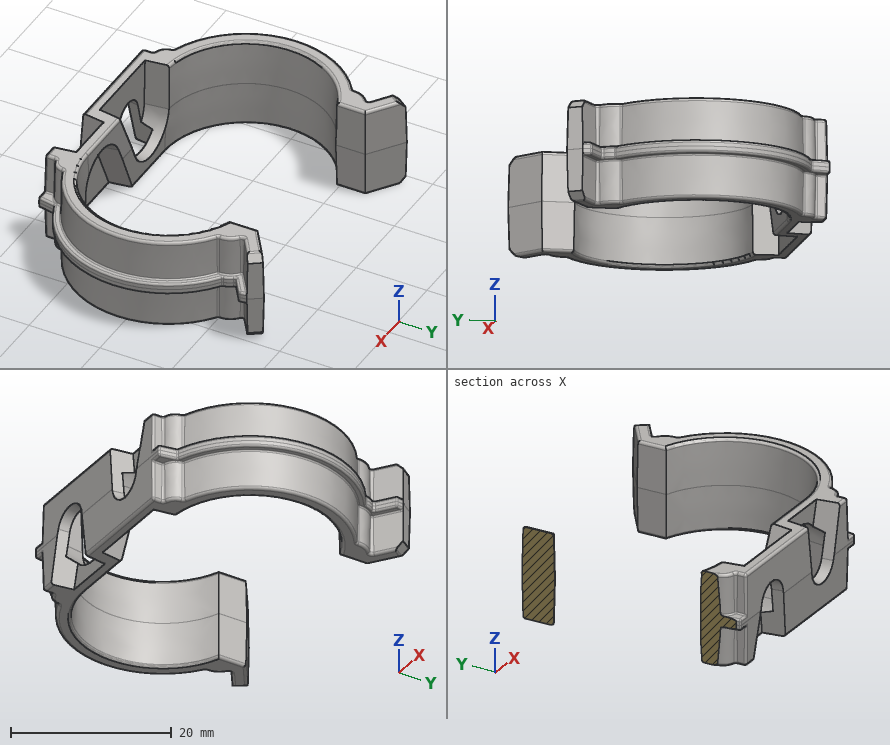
import cadquery as cq
import math

WIDTH = 49.0
DEPTH = 34.25
HEIGHT = 12.7
HALF_HEIGHT = HEIGHT / 2
DRAFT = 1.2
RIM_ROUND = 0.4
CORNER_ROUND = 0.25

WALL = 2.15
RIB_HEIGHT = 1.0
BASE_THICKNESS = 4.8
INNER_RADIUS = 11.3
BODY_RADIUS = INNER_RADIUS + WALL
RIB_RADIUS = BODY_RADIUS + RIB_HEIGHT
ARC_X = -(WIDTH / 2 - RIB_RADIUS)
ARC_Y = BASE_THICKNESS + INNER_RADIUS

RIB_HALF_THICKNESS = 0.8
CREST_ROUND = 0.3
ROOT_ROUND = 0.2
RIB_ROOT_RADIUS = BODY_RADIUS - WALL / 2
RIB_ROOT_X = -14.95

PAD_X = -12.9
PAD_RIB_X = -14.3
FOOT_LUMP_X = -14.55
FOOT_LUMP_MIDDLE = (-14.25, 2.45)
FOOT_LUMP_END = (PAD_X, 1.55)
FOOT_RIB_X = -14.75

MOUTH_X = -13.9
LEVER_BEND = (MOUTH_X, 30.9)
LEVER_ANGLE = 35.0
LEVER_TIP_CUT = 1.05
LEVER_ROOT_DISTANCE = 1.35
RIB_LEVER_ROOT_DISTANCE = 2.1
RIB_TIP_SETBACK = 0.5
NECK_X = -17.7
NECK_MIDDLE = (-17.3, 28.9)
RIB_NECK_X = -18.2
RIB_NECK_MIDDLE = (-17.9, 29.0)

SLOT_X = 6.3
SLOT_DEPTH = 3.25
SLOT_DRAFT = 8.0
FRONT_SLOT_RADIUS = 2.3
FRONT_SLOT_ANGLES = (6.6, 15.0)
BACK_SLOT_RADIUS = 4.1
BACK_SLOT_ANGLES = (2.0, 25.0)

OVERCUT = 1.0
OVERLAP = 0.5
NEAR = 0.05
PAD_REACH = 0.25
SAME_POINT = 0.005


def arc_y(radius, x, side):
    """Y of the ring arc at x, on its +Y (side 1) or -Y (side -1) half."""
    return ARC_Y + side * math.sqrt(radius**2 - (x - ARC_X) ** 2)


def along_lever(start, length, across=0.0):
    """Point a length along the lever from start, and a distance across it toward its underside."""
    angle = math.radians(LEVER_ANGLE)
    return (
        start[0] - length * math.cos(angle) - across * math.sin(angle),
        start[1] + length * math.sin(angle) - across * math.cos(angle),
    )


LEVER_LENGTH = (DEPTH - LEVER_BEND[1]) / math.sin(math.radians(LEVER_ANGLE))
TIP_INNER = along_lever(LEVER_BEND, LEVER_LENGTH)
TIP_OUTER = along_lever(TIP_INNER, 0, WALL)
LEVER_ROOT = along_lever(LEVER_BEND, LEVER_ROOT_DISTANCE, WALL)
RIB_LEVER_ROOT = along_lever(LEVER_BEND, RIB_LEVER_ROOT_DISTANCE, WALL + RIB_HEIGHT)
RIB_TIP = along_lever(TIP_OUTER, -RIB_TIP_SETBACK, RIB_HEIGHT)
FOOT_START = (FOOT_LUMP_X, arc_y(BODY_RADIUS, FOOT_LUMP_X, -1))
NECK_START = (NECK_X, arc_y(BODY_RADIUS, NECK_X, 1))
FOOT_RIB_START = (FOOT_RIB_X, arc_y(RIB_RADIUS, FOOT_RIB_X, -1))
RIB_NECK_START = (RIB_NECK_X, arc_y(RIB_RADIUS, RIB_NECK_X, 1))

LEVER_TIP_EDGE = cq.selectors.BoxSelector(
    (TIP_OUTER[0], TIP_OUTER[1], HALF_HEIGHT - NEAR),
    (TIP_INNER[0], TIP_INNER[1], HALF_HEIGHT + NEAR),
)
RIB_TOP = cq.selectors.BoxSelector(
    (-WIDTH, 0, RIB_HALF_THICKNESS - NEAR),
    (0, DEPTH, RIB_HALF_THICKNESS + NEAR),
)
PAD_CORNER = cq.selectors.BoxSelector(
    (PAD_X - PAD_REACH, -NEAR, RIB_HALF_THICKNESS + NEAR),
    (PAD_X + PAD_REACH, PAD_REACH, HALF_HEIGHT - NEAR),
)


def left_body_outline():
    """Left half of the body at the mid-plane, running a little past the middle."""
    return (
        cq.Workplane("XY")
        .moveTo(OVERLAP, 0)
        .lineTo(PAD_X, 0)
        .lineTo(*FOOT_LUMP_END)
        .threePointArc(FOOT_LUMP_MIDDLE, FOOT_START)
        .threePointArc((ARC_X - BODY_RADIUS, ARC_Y), NECK_START)
        .threePointArc(NECK_MIDDLE, LEVER_ROOT)
        .lineTo(*TIP_OUTER)
        .lineTo(*TIP_INNER)
        .lineTo(*LEVER_BEND)
        .lineTo(MOUTH_X, arc_y(INNER_RADIUS, MOUTH_X, 1))
        .threePointArc((ARC_X - INNER_RADIUS, ARC_Y), (ARC_X, BASE_THICKNESS))
        .lineTo(OVERLAP, BASE_THICKNESS)
        .close()
    )


def left_rib_outline():
    """Left rib at the mid-plane, from the base to the lever tip, rooted inside the wall."""
    return (
        cq.Workplane("XY")
        .moveTo(PAD_X + WALL, 0)
        .lineTo(PAD_RIB_X, 0)
        .lineTo(*FOOT_RIB_START)
        .threePointArc((ARC_X - RIB_RADIUS, ARC_Y), RIB_NECK_START)
        .threePointArc(RIB_NECK_MIDDLE, RIB_LEVER_ROOT)
        .lineTo(*RIB_TIP)
        .lineTo(*TIP_OUTER)
        .lineTo(*along_lever(TIP_OUTER, 0, -WALL / 2))
        .lineTo(*along_lever(LEVER_BEND, 0, WALL / 2))
        .lineTo(RIB_ROOT_X, arc_y(RIB_ROOT_RADIUS, RIB_ROOT_X, 1))
        .threePointArc((ARC_X - RIB_ROOT_RADIUS, ARC_Y), (ARC_X, ARC_Y - RIB_ROOT_RADIUS))
        .close()
    )


def drafted(outline, corners, height):
    """Rounds corners of a closed outline and extrudes it upward with draft."""
    wire = outline.val()
    for x, y in corners:
        vertex = [v for v in wire.Vertices() if math.hypot(v.X - x, v.Y - y) < SAME_POINT]
        wire = wire.fillet2D(CORNER_ROUND, vertex)
    return cq.Workplane("XY").add(wire).toPending().extrude(height, taper=DRAFT)


def left_quarter():
    """Left half of the clip above the mid-plane, with its rib and lever tip, before the rim is rounded."""
    body_corners = [FOOT_START, FOOT_LUMP_END, NECK_START, LEVER_ROOT]
    body = drafted(left_body_outline(), body_corners, HALF_HEIGHT)
    body = body.edges(LEVER_TIP_EDGE).chamfer(LEVER_TIP_CUT)
    rib_corners = [(PAD_RIB_X, 0), FOOT_RIB_START, RIB_NECK_START, RIB_LEVER_ROOT, RIB_TIP]
    rib = drafted(left_rib_outline(), rib_corners, RIB_HALF_THICKNESS)
    quarter = body.union(rib).clean()
    crest = quarter.faces(RIB_TOP).edges("<X").vals()
    pad_corner = quarter.edges(PAD_CORNER).vals()
    quarter = quarter.newObject(crest + pad_corner).fillet(CREST_ROUND)
    return quarter.faces(RIB_TOP).edges(">X").fillet(ROOT_ROUND)


def front_slot(x, radius, angles):
    """Cutter open to -Y and +Z: a round lower end with a wall sloping out on each side."""
    top = HALF_HEIGHT + OVERCUT
    walls = []
    for side, degrees in zip((-1, 1), angles):
        angle = math.radians(degrees)
        tangent = (x + side * radius * math.cos(angle), -radius * math.sin(angle))
        end = (tangent[0] + side * (top - tangent[1]) * math.tan(angle), top)
        walls.append((tangent, end))
    (left_tangent, left_end), (right_tangent, right_end) = walls
    return (
        cq.Workplane("XZ", origin=(0, SLOT_DEPTH, 0))
        .moveTo(*left_end)
        .lineTo(*left_tangent)
        .threePointArc((x, -radius), right_tangent)
        .lineTo(*right_end)
        .close()
        .extrude(SLOT_DEPTH + OVERCUT, taper=-SLOT_DRAFT)
    )


left = left_quarter()
half = left.union(left.mirror("YZ")).clean().faces(">Z").edges().fillet(RIM_ROUND)
clip = half.union(half.mirror("XY")).clean()

back_slot = front_slot(-SLOT_X, BACK_SLOT_RADIUS, BACK_SLOT_ANGLES).mirror("XZ")
slots = [
    front_slot(SLOT_X, FRONT_SLOT_RADIUS, FRONT_SLOT_ANGLES),
    back_slot.translate((0, BASE_THICKNESS, 0)),
]
for slot in slots:
    clip = clip.cut(slot).cut(slot.rotate((0, 0, 0), (0, 1, 0), 180))

result = clip